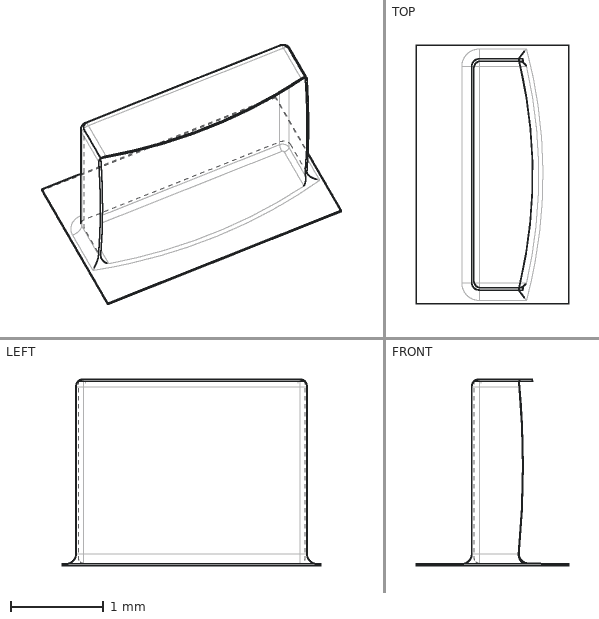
import cadquery as cq
import math

PLATE_X = 1.65
PLATE_Y = 2.8
PLATE_T = 0.02

TOTAL_HEIGHT = 2.02
HOOD_WIDTH = 2.5
BACK_X = -0.225
FRONT_END_X = 0.28
FRONT_MID_X = 0.433
WALL_T = 0.024
TOP_ROUND_R = 0.08
BASE_FILLET_R = 0.11
RIM_BULGE = 0.045

FLOOR_Z = PLATE_T + 0.01
CAVITY_CORNER_R = 0.075
FLOOR_FILLET_R = 0.055

HALF_WIDTH = HOOD_WIDTH / 2
BASE_TOP_Z = PLATE_T + BASE_FILLET_R
RIM_MID_Z = (BASE_TOP_Z + TOTAL_HEIGHT) / 2

ARC_RISE = FRONT_MID_X - FRONT_END_X
ARC_R = (HALF_WIDTH**2 + ARC_RISE**2) / (2 * ARC_RISE)
ARC_CENTER_X = FRONT_MID_X - ARC_R


def make_plate():
    return cq.Workplane("XY").box(PLATE_X, PLATE_Y, PLATE_T, centered=(True, True, False))


def make_barrel():
    """Barrel about a vertical axis whose bowed wall is the front of the hood."""
    rim_half_height = TOTAL_HEIGHT - RIM_MID_Z
    bow_r = (rim_half_height**2 + RIM_BULGE**2) / (2 * RIM_BULGE)
    bow_center_x = ARC_R + RIM_BULGE - bow_r
    foot_x = bow_center_x + math.sqrt(bow_r**2 - RIM_MID_Z**2)
    profile = (
        cq.Workplane("XZ", origin=(ARC_CENTER_X, 0, 0))
        .lineTo(foot_x, 0)
        .threePointArc((ARC_R + RIM_BULGE, RIM_MID_Z), (ARC_R, TOTAL_HEIGHT))
        .lineTo(0, TOTAL_HEIGHT)
        .close()
    )
    return profile.revolve(360, (0, 0, 0), (0, 1, 0))


def make_hood_block():
    """Solid hood: box with rounded back and roof edges, bowed at the front."""
    block = (
        cq.Workplane("XY")
        .box(PLATE_X, HOOD_WIDTH, TOTAL_HEIGHT, centered=(False, True, False))
        .translate((BACK_X, 0, 0))
    )
    block = block.edges("(|Z and <X) or (>Z and <X) or (>Z and |X)").fillet(TOP_ROUND_R)
    return block.intersect(make_barrel())


def fillet_base(body):
    """Round the inside corner all around the foot of the hood."""
    margin = BASE_FILLET_R
    foot = cq.selectors.BoxSelector(
        (BACK_X - margin, -HALF_WIDTH - margin, PLATE_T / 2),
        (FRONT_MID_X + margin, HALF_WIDTH + margin, PLATE_T * 3 / 2),
    )
    return body.edges(foot).fillet(BASE_FILLET_R)


def make_cavity():
    """Inner space, running out through the front."""
    cavity_width = HOOD_WIDTH - 2 * WALL_T
    cavity_height = TOTAL_HEIGHT - WALL_T - FLOOR_Z
    cavity = (
        cq.Workplane("XY")
        .box(PLATE_X, cavity_width, cavity_height, centered=(False, True, False))
        .translate((BACK_X + WALL_T, 0, FLOOR_Z))
    )
    cavity = cavity.edges("|Z and <X").fillet(CAVITY_CORNER_R)
    return cavity.edges("<Z and |X").fillet(FLOOR_FILLET_R)


solid_body = fillet_base(make_plate().union(make_hood_block()))
result = solid_body.cut(make_cavity())